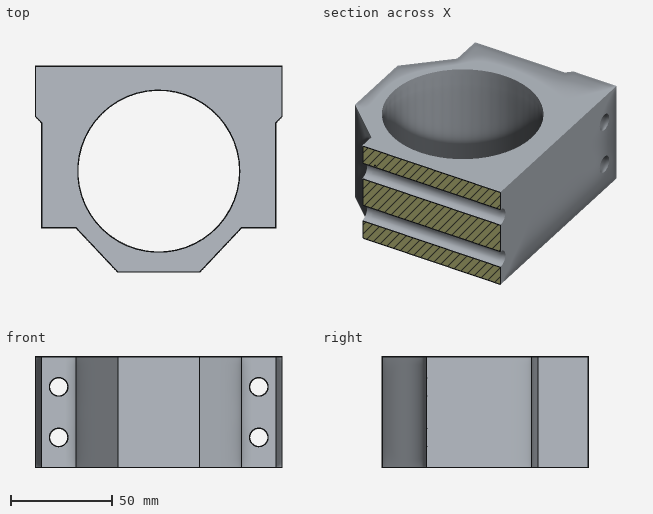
import cadquery as cq

height = 55.0
back_width = 122.0
body_width = 116.0
back_y = 52.0
back_depth = 25.0
step_size = (back_width - body_width) / 2

shoulder_y = -28.0
nose_y = -50.0
nose_root_width = 82.0
nose_tip_width = 40.5

bore_diameter = 80.0
hole_diameter = 9.0
hole_spacing_x = 99.0
hole_spacing_z = 25.0


def make_block():
    """Extrude the symmetric outline, centred on Z = 0."""
    step_y = back_y - back_depth
    right_half = [
        (back_width / 2, back_y),
        (back_width / 2, step_y),
        (body_width / 2, step_y - step_size),
        (body_width / 2, shoulder_y),
        (nose_root_width / 2, shoulder_y),
        (nose_tip_width / 2, nose_y),
    ]
    left_half = [(-x, y) for x, y in reversed(right_half)]
    outline = cq.Workplane("XY").polyline(right_half + left_half).close()
    return outline.extrude(height / 2, both=True)


def make_bore():
    """Cylinder through the full height."""
    return cq.Workplane("XY").circle(bore_diameter / 2).extrude(height / 2, both=True)


def make_mounting_holes():
    """Four parallel cylinders from the shoulders through to the back face."""
    return (
        cq.Workplane("XZ", origin=(0, back_y, 0))
        .rarray(hole_spacing_x, hole_spacing_z, 2, 2)
        .circle(hole_diameter / 2)
        .extrude(back_y - shoulder_y)
    )


result = make_block().cut(make_bore()).cut(make_mounting_holes())